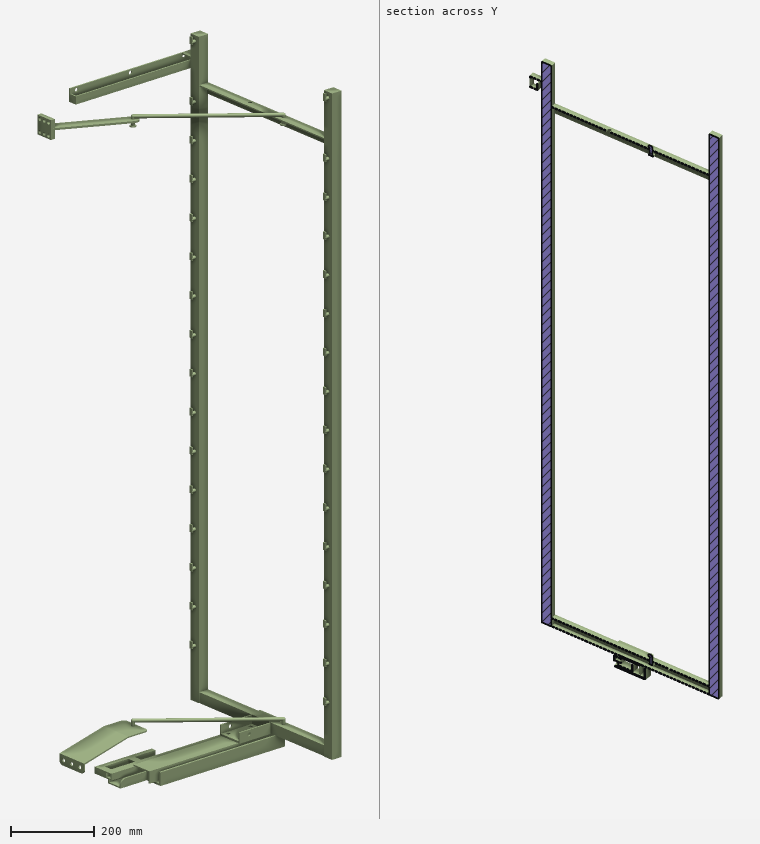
import cadquery as cq
import math


total_width = 554.0
total_height = 1758.0
total_depth = 495.0

post_size = 30.0
frame_back = -7.0
frame_front = frame_back - post_size
left_post_x = 35.0
right_post_x = total_width - post_size
post_bottom = 39.0
rail_wall = 4.0
rail_height = 28.0
rail_setback = 2.0
rail_front = frame_front + rail_setback
lower_rail_top = post_bottom + rail_height
upper_rail_top = 1634.0
rail_start = left_post_x + post_size
rail_hole_diameter = 9.8
rail_hole = (230.0, -18.0)

hook_count = 15
hook_pitch = 100.0
lowest_hook_z = 183.0
end_hook_z = 1743.0
hook_pin_diameter = 9.8
hook_reach = 12.0
hook_tip_width = 9.0
hook_tip_thickness = 4.0
hook_tip_height = 20.0

strip_height = 5.0
strip_offsets = (7.0, 23.0)

beam_width = 25.0
beam_height = 35.0
beam_bottom = 1664.0
beam_wall = 4.0
beam_lip = 21.0
beam_front = -392.0
beam_hole_diameter = 10.0
beam_hole_drop = 9.0
beam_hole_setbacks = (30.0, 200.0, 371.0)

rod_diameter = 10.0
rod_rear = (355.0, -20.0)
rod_front = (127.0, -299.0)
lower_rod_level = lower_rail_top + 13.2
upper_rod_level = upper_rail_top + 6.2
rod_drop = 26.0
rod_head_diameter = 15.0
rod_head_height = 4.0

strap_width = 32.0
strap_thickness = 5.0
strap_foot = (33.0, -480.0)
foot_width = 50.0
foot_height = 51.0
foot_thickness = 12.0
foot_hole_diameter = 9.5
foot_hole_columns = 3
foot_hole_rows = 2
foot_hole_column_gap = 15.0
foot_hole_row_gap = 33.0

plate_left = 83.0
plate_width = 90.0
plate_back = -288.0
plate_bend = -353.0
plate_thickness = 4.0
plate_corner = 10.0
plate_lip_top = 33.0
plate_lip_bottom = 5.0
plate_hole_diameter = 9.8
plate_hole_count = 3
plate_hole_gap = plate_width / plate_hole_count

channel_left = 248.0
channel_right = 340.0
channel_front = -395.0
channel_height = 35.0
channel_wall = 5.0

carriage_front = -490.0
runner_left = 246.0
runner_right = 302.0
runner_wall = 4.0
runner_bottom = 7.0
tube_bottom = 18.0
tray_left = 257.0
side_top = 30.0
nose_radius = 18.0
deck_left = 269.0
deck_right = 324.0
deck_front = -417.0
deck_thickness = 4.0
saddle_left = 257.0
saddle_right = 329.0
saddle_front = -135.0
saddle_wall = 4.0
saddle_floor = 5.0
saddle_hole_y = -105.0
floor_hole_inset = 14.0
saddle_hole_diameter = 10.0
handle_left = 208.0
handle_bar = 14.0
handle_back = -310.0
handle_arm = 20.0
handle_arm_back = -376.0


def block(x0, x1, y0, y1, z0, z1):
    """Box between two opposite corners."""
    return cq.Workplane("XY").box(x1 - x0, y1 - y0, z1 - z0, centered=False).translate((x0, y0, z0))


def upright_pin(place, diameter, bottom, depth):
    """Upright cylinder that stands on a level."""
    return cq.Workplane("XY", origin=(*place, bottom)).circle(diameter / 2).extrude(depth)


def rail_block(top):
    """Solid bar that fills the space between the posts."""
    return block(rail_start, right_post_x, rail_front, frame_back, top - rail_height, top)


def make_lower_rail():
    """Square tube with a hole on top for the rod."""
    tube = rail_block(lower_rail_top).faces("<X or >X").shell(-rail_wall)
    return tube.cut(upright_pin(rod_rear, rod_diameter, lower_rail_top - rail_wall, rail_wall))


def make_upper_rail():
    """Angle with a wall at the back and a flange on top, which has a hole for the rod and a spare one."""
    flange_bottom = upper_rail_top - rail_wall
    hollow = block(
        rail_start, right_post_x, rail_front, frame_back - rail_wall,
        upper_rail_top - rail_height, flange_bottom,
    )
    angle = rail_block(upper_rail_top).cut(hollow)
    angle = angle.cut(upright_pin(rod_rear, rod_diameter, flange_bottom, rail_wall))
    return angle.cut(upright_pin(rail_hole, rail_hole_diameter, flange_bottom, rail_wall))


def make_hook(x, z):
    """Round pin on the front of a post with a flat tip that points up."""
    pin = cq.Workplane("XZ", origin=(x, frame_front, z)).circle(hook_pin_diameter / 2).extrude(hook_reach)
    tip_front = frame_front - hook_reach
    tip_bottom = z - hook_pin_diameter / 2
    tip = block(
        x - hook_tip_width / 2, x + hook_tip_width / 2, tip_front, tip_front + hook_tip_thickness,
        tip_bottom, tip_bottom + hook_tip_height,
    )
    return pin.union(tip)


def make_frame():
    """Two hooked posts, two rails and the strips behind the upper rail, as one welded body."""
    frame = make_lower_rail().union(make_upper_rail())
    for post_x in (left_post_x, right_post_x):
        post = block(post_x, post_x + post_size, frame_front, frame_back, post_bottom, total_height)
        frame = frame.union(post)
        hook_levels = [lowest_hook_z + i * hook_pitch for i in range(hook_count)] + [end_hook_z]
        for level in hook_levels:
            frame = frame.union(make_hook(post_x + post_size / 2, level))
    for offset in strip_offsets:
        strip_top = upper_rail_top - offset
        strip = block(channel_left, channel_right, frame_back, 0, strip_top - strip_height, strip_top)
        frame = frame.union(strip)
    return frame


def make_beam():
    """Gutter with a low inner lip and front end, and a rear tab on top that reaches the left post."""
    profile = [
        (0, 0), (beam_width, 0), (beam_width, beam_lip), (beam_width - beam_wall, beam_lip),
        (beam_width - beam_wall, beam_wall), (beam_wall, beam_wall),
        (beam_wall, beam_height), (0, beam_height),
    ]
    beam = (
        cq.Workplane("XZ", origin=(0, frame_back, beam_bottom)).polyline(profile).close()
        .extrude(frame_back - beam_front)
    )
    end_cap = block(0, beam_width, beam_front, beam_front + beam_wall, beam_bottom, beam_bottom + beam_lip)
    beam = beam.union(end_cap)
    top = beam_bottom + beam_height
    beam = beam.union(block(0, left_post_x, frame_front, frame_back, top - beam_wall, top))
    for setback in beam_hole_setbacks:
        hole = (
            cq.Workplane("YZ", origin=(0, -setback, top - beam_hole_drop))
            .circle(beam_hole_diameter / 2).extrude(beam_wall)
        )
        beam = beam.cut(hole)
    return beam


def make_rod(level):
    """Level bar with both ends turned down and headed."""
    run = math.dist(rod_rear, rod_front)
    direction = ((rod_front[0] - rod_rear[0]) / run, (rod_front[1] - rod_rear[1]) / run, 0)
    bar_plane = cq.Plane(origin=(*rod_rear, level), xDir=(0, 0, 1), normal=direction)
    rod = cq.Workplane(bar_plane).circle(rod_diameter / 2).extrude(run)
    for end in (rod_rear, rod_front):
        leg_bottom = level - rod_drop
        leg = upright_pin(end, rod_diameter, leg_bottom, rod_drop)
        elbow = cq.Workplane("XY", origin=(*end, level)).sphere(rod_diameter / 2)
        head = upright_pin(end, rod_head_diameter, leg_bottom, rod_head_height)
        rod = rod.union(leg).union(elbow).union(head)
    return rod


def make_strap():
    """Slanted flat arm with a round end for the rod and a drilled upright foot at the front."""
    run_x = rod_front[0] - strap_foot[0]
    run_y = rod_front[1] - strap_foot[1]
    run = math.hypot(run_x, run_y)
    bottom = upper_rail_top - strap_thickness
    arm = (
        cq.Workplane("XY").rect(run, strap_width).extrude(strap_thickness)
        .union(cq.Workplane("XY").center(run / 2, 0).circle(strap_width / 2).extrude(strap_thickness))
        .rotate((0, 0, 0), (0, 0, 1), math.degrees(math.atan2(run_y, run_x)))
        .translate((strap_foot[0] + run_x / 2, strap_foot[1] + run_y / 2, bottom))
    )
    foot_middle = bottom + strap_thickness / 2
    foot_back = strap_foot[1]
    foot = block(
        0, foot_width, foot_back - foot_thickness, foot_back,
        foot_middle - foot_height / 2, foot_middle + foot_height / 2,
    )
    holes = (
        cq.Workplane("XZ", origin=(foot_width / 2, foot_back, foot_middle))
        .rarray(foot_hole_column_gap, foot_hole_row_gap, foot_hole_columns, foot_hole_rows)
        .circle(foot_hole_diameter / 2).extrude(foot_thickness)
    )
    return arm.union(foot.cut(holes)).cut(upright_pin(rod_front, rod_diameter, bottom, strap_thickness))


def make_plate():
    """Bent sheet: level at the back, sloping down to the front, ending in an upright lip."""
    top = lower_rail_top
    front = -total_depth
    lip_back = front + plate_thickness
    profile = [
        (plate_back, top), (plate_bend, top), (front, plate_lip_top), (front, plate_lip_bottom),
        (lip_back, plate_lip_bottom), (lip_back, plate_lip_top - plate_thickness),
        (plate_bend, top - plate_thickness), (plate_back, top - plate_thickness),
    ]
    plate = cq.Workplane("YZ", origin=(plate_left, 0, 0)).polyline(profile).close().extrude(plate_width)
    plate = plate.faces(">Y").edges("|Z").fillet(plate_corner)
    plate = plate.faces("<Z").edges("|Y").fillet(plate_corner)
    lip_middle = (plate_lip_top + plate_lip_bottom) / 2
    holes = (
        cq.Workplane("XZ", origin=(plate_left + plate_width / 2, lip_back, lip_middle))
        .rarray(plate_hole_gap, 18, plate_hole_count, 1).circle(plate_hole_diameter / 2).extrude(plate_thickness)
    )
    pivot = upright_pin(rod_front, rod_diameter, top - plate_thickness, plate_thickness)
    return plate.cut(holes).cut(pivot)


def make_channel():
    """Floor strip with an upright right edge."""
    floor = block(channel_left, channel_right, channel_front, 0, 0, channel_wall)
    edge = block(channel_right - channel_wall, channel_right, channel_front, 0, 0, channel_height)
    return floor.union(edge)


def make_carriage():
    """Runner with a tubular left side and an upright right side, under a raised deck."""
    deck_bottom = post_bottom - deck_thickness
    tube = block(runner_left, deck_left, carriage_front, 0, tube_bottom, deck_bottom)
    tube = tube.faces("<Y or >Y").shell(-runner_wall)
    tray = block(tray_left, runner_right, carriage_front, 0, runner_bottom, runner_bottom + runner_wall)
    web = block(tray_left, tray_left + runner_wall, carriage_front, 0, runner_bottom, tube_bottom)
    side = block(runner_right - runner_wall, runner_right, carriage_front, 0, runner_bottom, side_top)
    side = side.edges("|X and <Y and >Z").fillet(nose_radius)
    deck = block(deck_left - runner_wall, deck_right, deck_front, 0, deck_bottom, post_bottom)
    skirt = block(deck_right - deck_thickness, deck_right, deck_front, 0, runner_bottom, deck_bottom)
    carriage = tube.union(web).union(tray).union(side).union(deck).union(skirt)
    return carriage.union(make_saddle()).union(make_handle(deck_bottom))


def make_saddle():
    """Tray with two cheeks in front of the lower rail, and a plate behind the rail."""
    floor = post_bottom + saddle_floor
    saddle = block(saddle_left, saddle_right, saddle_front, frame_front, post_bottom, floor)
    for x in (saddle_left, saddle_right - saddle_wall):
        cheek = block(x, x + saddle_wall, saddle_front, frame_front, post_bottom, lower_rail_top)
        saddle = saddle.union(cheek)
    cheek_hole = (
        cq.Workplane("YZ", origin=(saddle_left, saddle_hole_y, (floor + lower_rail_top) / 2))
        .circle(saddle_hole_diameter / 2).extrude(saddle_right - saddle_left)
    )
    saddle_center = ((saddle_left + saddle_right) / 2, (saddle_front + frame_front) / 2)
    hole_gap_x = saddle_right - saddle_left - 2 * floor_hole_inset
    hole_gap_y = frame_front - saddle_front - 2 * floor_hole_inset
    floor_holes = (
        cq.Workplane("XY", origin=(*saddle_center, post_bottom))
        .rarray(hole_gap_x, hole_gap_y, 2, 2)
        .circle(saddle_hole_diameter / 2).extrude(saddle_floor)
    )
    back = block(channel_left, channel_right, frame_back, 0, post_bottom - deck_thickness, lower_rail_top)
    return saddle.cut(cheek_hole).cut(floor_holes).union(back)


def make_handle(top):
    """Grip bar along the left side of the runner, held by two arms."""
    bar = block(handle_left, handle_left + handle_bar, carriage_front, handle_back, tube_bottom, top)
    for y in (carriage_front, handle_arm_back - handle_arm):
        bar = bar.union(block(handle_left, runner_left, y, y + handle_arm, tube_bottom, top))
    return bar


frame = make_frame()
beam = make_beam()
rods = [make_rod(level) for level in (lower_rod_level, upper_rod_level)]
strap = make_strap()
plate = make_plate()
channel = make_channel()
carriage = make_carriage()

result = cq.Compound.makeCompound(
    [body.val() for body in (frame, beam, *rods, strap, plate, channel, carriage)]
)